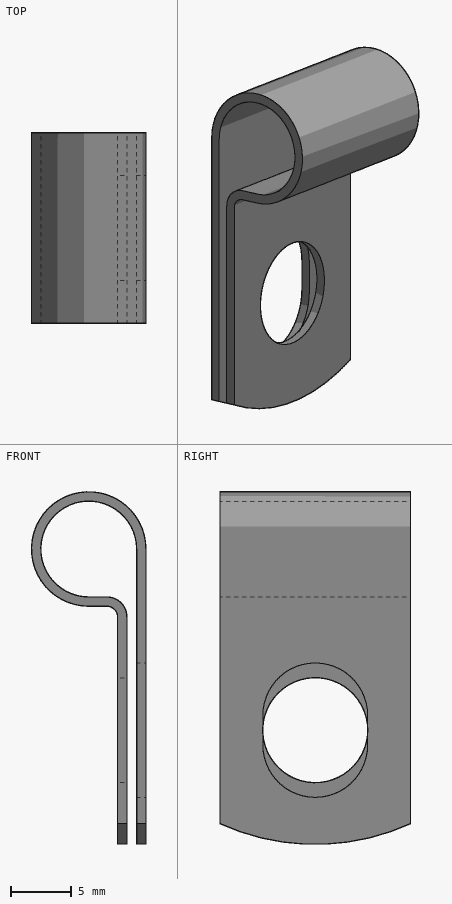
import cadquery as cq
import math

width = 15.88
height = 29.35
loop_diameter = 9.55
thickness = 0.8
leg_gap = 0.8

bend_inner_radius = 0.88

hole_diameter = 8.72
hole_height = 9.5
slot_straight = 2.47
end_drop = 1.73

outer_radius = loop_diameter / 2
inner_radius = outer_radius - thickness
bend_outer_radius = bend_inner_radius + thickness
loop_z = height - outer_radius

inner_leg_right = inner_radius - leg_gap
inner_leg_left = inner_leg_right - thickness
bend_x = inner_leg_right - bend_outer_radius
bend_z = loop_z - inner_radius - bend_outer_radius
diagonal = math.sqrt(0.5)


def make_strip():
    """Bent strip: straight leg, loop, reverse bend and second leg."""
    return (
        cq.Workplane("XZ")
        .moveTo(outer_radius, 0)
        .lineTo(outer_radius, loop_z)
        .threePointArc(
            (-outer_radius * diagonal, loop_z + outer_radius * diagonal),
            (0, loop_z - outer_radius),
        )
        .lineTo(bend_x, loop_z - outer_radius)
        .threePointArc(
            (bend_x + bend_inner_radius * diagonal, bend_z + bend_inner_radius * diagonal),
            (inner_leg_left, bend_z),
        )
        .lineTo(inner_leg_left, 0)
        .lineTo(inner_leg_right, 0)
        .lineTo(inner_leg_right, bend_z)
        .threePointArc(
            (bend_x + bend_outer_radius * diagonal, bend_z + bend_outer_radius * diagonal),
            (bend_x, loop_z - inner_radius),
        )
        .lineTo(0, loop_z - inner_radius)
        .threePointArc(
            (-inner_radius * diagonal, loop_z + inner_radius * diagonal),
            (inner_radius, loop_z),
        )
        .lineTo(inner_radius, 0)
        .close()
        .extrude(width / 2, both=True)
    )


def make_side_envelope():
    """Side outline with the arc that rounds both leg ends."""
    return (
        cq.Workplane("YZ")
        .moveTo(-width / 2, height)
        .lineTo(-width / 2, end_drop)
        .threePointArc((0, 0), (width / 2, end_drop))
        .lineTo(width / 2, height)
        .close()
        .extrude(loop_diameter, both=True)
    )


def make_bolt_hole():
    """Round hole through the inner leg."""
    return (
        cq.Workplane("YZ", origin=(inner_leg_left, 0, hole_height))
        .circle(hole_diameter / 2)
        .extrude(thickness)
    )


def make_bolt_slot():
    """Upright slot through the outer leg, as wide as the bolt hole."""
    return (
        cq.Workplane("YZ", origin=(inner_radius, 0, hole_height))
        .slot2D(hole_diameter + slot_straight, hole_diameter, 90)
        .extrude(thickness)
    )


result = (
    make_strip()
    .intersect(make_side_envelope())
    .cut(make_bolt_hole())
    .cut(make_bolt_slot())
)